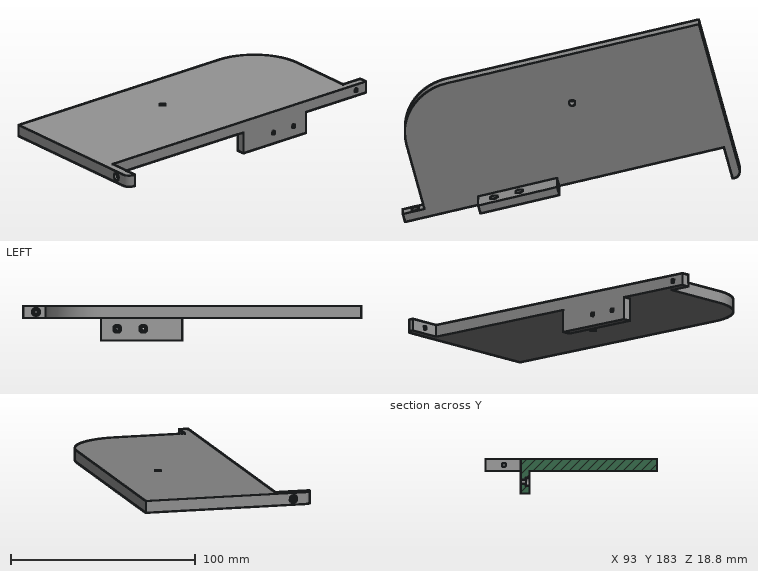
import cadquery as cq

length = 183.0
plate_width = 74.0
plate_thickness = 6.5
corner_radius = 30.0
hole_diameter = 3.3
hole_x = 28.2
hole_y = 78.0

strip_thickness = 5.0
front_strip_length = 93.0
front_strip_radius = 4.0
rear_tab_length = 12.0

leg_length = 44.1
leg_height = 12.3
leg_rear_y = length - rear_tab_length - corner_radius
leg_hole_setbacks = (8.8, 22.9)
leg_hole_drop = 5.9

screw_diameter = 2.0
front_head_diameter = 4.0
side_head_diameter = 4.2
head_depth = 2.0
front_screw_x = 82.9
rear_screw_y = length - 7.0


def box(x, y, z, dx, dy, dz):
    """Box from its lowest corner and its sizes."""
    return cq.Workplane("XY").box(dx, dy, dz, centered=False).translate((x, y, z))


def screw_cutter(point, direction, head_diameter):
    """Counterbored hole through one strip, with its head at the given point."""
    start = cq.Vector(*point)
    axis = cq.Vector(*direction)
    head = cq.Solid.makeCylinder(head_diameter / 2, head_depth, start, axis)
    shaft = cq.Solid.makeCylinder(screw_diameter / 2, strip_thickness, start, axis)
    return cq.Workplane(obj=head.fuse(shaft))


plate_length = length - rear_tab_length
plate = box(0, 0, 0, plate_width, plate_length, plate_thickness)
plate = plate.edges("|Z and <X and >Y").fillet(corner_radius)
plate = plate.cut(
    cq.Workplane("XY").center(hole_x, hole_y).circle(hole_diameter / 2).extrude(plate_thickness)
)

front_strip = box(0, 0, 0, front_strip_length, strip_thickness, plate_thickness)
front_strip = front_strip.edges("|Z and >X and <Y").fillet(front_strip_radius)

strip_x = plate_width - strip_thickness
rear_tab = box(strip_x, plate_length, 0, strip_thickness, rear_tab_length, plate_thickness)
leg = box(strip_x, leg_rear_y - leg_length, -leg_height, strip_thickness, leg_length, leg_height)

result = plate.union(front_strip).union(rear_tab).union(leg)

mid_plate_z = plate_thickness / 2
result = result.cut(screw_cutter((front_screw_x, 0, mid_plate_z), (0, 1, 0), front_head_diameter))
result = result.cut(screw_cutter((strip_x, rear_screw_y, mid_plate_z), (1, 0, 0), side_head_diameter))
for setback in leg_hole_setbacks:
    head = (strip_x, leg_rear_y - setback, -leg_hole_drop)
    result = result.cut(screw_cutter(head, (1, 0, 0), side_head_diameter))